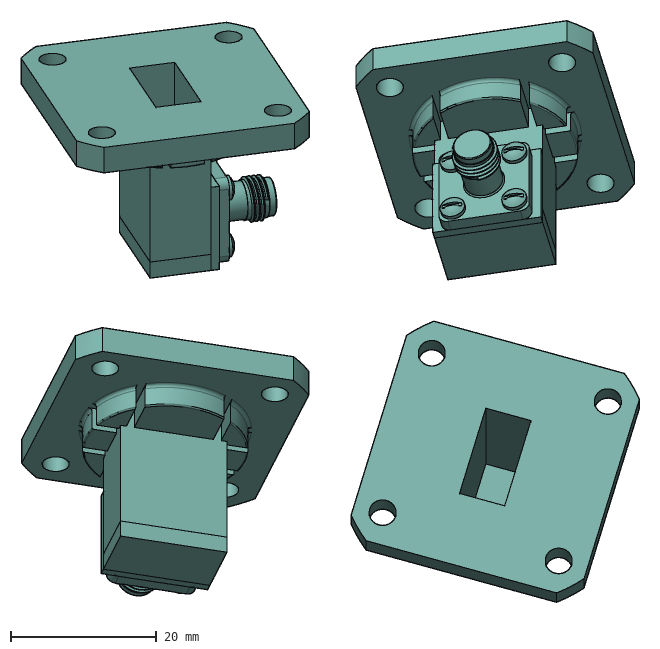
import cadquery as cq


flange_side = 33.32
flange_thickness = 3.9
corner_circle_diameter = 43.05
bolt_spacing_x = 24.2
bolt_spacing_y = 25.2
bolt_hole_diameter = 3.7

boss_diameter = 22.72
boss_height = 3.4
boss_root_fillet = 0.5
boss_rim_fillet = 0.2
slot_width = 1.13
slot_offset_x = 6.2
slot_offset_y = 2.95

overall_height = 25.4
guide_width = 15.2
guide_depth = 8.73
guide_wall = 1.13
cap_thickness = 2.45

plate_height = 12.7
plate_thickness = 1.15

connector_flange_side = plate_height
connector_flange_thickness = 1.8
connector_corner_radius = 1.25
barrel_radius = 2.7
barrel_length = 7.9
barrel_end_chamfer = 0.13
barrel_root_chamfer = 0.2

sleeve_radius = 2.83
sleeve_length = 3.13
sleeve_start = 3.7
thread_major_radius = 3.2
thread_pitch = 0.7
thread_turns = 3.7
thread_root_half_width = 0.3
thread_crest_half_width = 0.05
thread_root_overlap = 0.1
thread_start = sleeve_start + thread_root_half_width

screw_spacing = 8.65
screw_head_radius = 1.73
screw_rim_height = 0.55
screw_head_height = 1.23
screw_slot_width = 0.53
screw_slot_depth = 0.4

cap_top_z = cap_thickness - overall_height
boss_bottom_z = -flange_thickness - boss_height
guide_face_y = guide_depth / 2
plate_face_y = guide_face_y + plate_thickness
connector_face_y = plate_face_y + connector_flange_thickness
connector_axis_z = plate_height / 2 - overall_height


def box_between(x_size, y_range, z_range):
    """Box centred on X = 0 that fills the given Y and Z ranges."""
    y_size = y_range[1] - y_range[0]
    z_size = z_range[1] - z_range[0]
    box = cq.Workplane("XY").box(x_size, y_size, z_size, centered=(True, False, False))
    return box.translate((0, y_range[0], z_range[0]))


def facing_out(shape, y):
    """Turn a shape built along +Z so it points along +Y, on the connector axis."""
    return shape.rotate((0, 0, 0), (1, 0, 0), -90).translate((0, y, connector_axis_z))


def make_flange():
    square = cq.Workplane("XY").rect(flange_side, flange_side).extrude(-flange_thickness)
    corner_limit = cq.Workplane("XY").circle(corner_circle_diameter / 2).extrude(-flange_thickness)
    bolt_holes = (
        cq.Workplane("XY")
        .rect(bolt_spacing_x, bolt_spacing_y, forConstruction=True)
        .vertices()
        .circle(bolt_hole_diameter / 2)
        .extrude(-flange_thickness)
    )
    return square.intersect(corner_limit).cut(bolt_holes)


def make_boss():
    """Round boss with a flared root, crossed by two slots along each axis."""
    radius = boss_diameter / 2
    root_radius = radius + boss_root_fillet
    root_z = -flange_thickness
    boss = (
        cq.Workplane("XZ")
        .moveTo(0, root_z)
        .lineTo(root_radius, root_z)
        .radiusArc((radius, root_z - boss_root_fillet), -boss_root_fillet)
        .lineTo(radius, boss_bottom_z)
        .lineTo(0, boss_bottom_z)
        .close()
        .revolve(360, (0, 0, 0), (0, 1, 0))
        .faces("<Z")
        .edges()
        .fillet(boss_rim_fillet)
    )
    slot_length = 2 * root_radius
    slot_z = boss_bottom_z + boss_height / 2
    slot_along_x = cq.Workplane("XY").box(slot_length, slot_width, boss_height)
    slot_along_y = cq.Workplane("XY").box(slot_width, slot_length, boss_height)
    for side in (-1, 1):
        boss = boss.cut(slot_along_x.translate((0, side * slot_offset_y, slot_z)))
        boss = boss.cut(slot_along_y.translate((side * slot_offset_x, 0, slot_z)))
    return boss


def make_housing():
    """Flange, boss and waveguide tube, with the rectangular bore right through."""
    tube = box_between(guide_width, (-guide_face_y, guide_face_y), (cap_top_z, -flange_thickness))
    bore_half_depth = guide_face_y - guide_wall
    bore = box_between(guide_width - 2 * guide_wall, (-bore_half_depth, bore_half_depth), (cap_top_z, 0))
    return make_flange().union(make_boss()).union(tube).cut(bore)


def make_end_cap():
    return box_between(guide_width, (-guide_face_y, guide_face_y), (-overall_height, cap_top_z))


def make_adapter_plate():
    plate_top_z = plate_height - overall_height
    return box_between(guide_width, (guide_face_y, plate_face_y), (-overall_height, plate_top_z))


def make_barrel():
    """Round barrel, chamfered at its free end and flared where it meets the flange."""
    root_radius = barrel_radius + barrel_root_chamfer
    barrel = cq.Workplane("XY").circle(barrel_radius).extrude(barrel_length)
    barrel = barrel.faces(">Z").chamfer(barrel_end_chamfer)
    root = cq.Workplane(obj=cq.Solid.makeCone(root_radius, barrel_radius, barrel_root_chamfer))
    sleeve = cq.Workplane("XY").workplane(offset=sleeve_start).circle(sleeve_radius).extrude(sleeve_length)
    return barrel.union(root).union(sleeve)


def make_thread():
    """Right-hand ridge that starts on the lower side of the barrel."""
    inner_radius = sleeve_radius - thread_root_overlap
    helix = cq.Wire.makeHelix(thread_pitch, thread_turns * thread_pitch, inner_radius)
    ridge = (
        cq.Workplane("XZ")
        .polyline([
            (inner_radius, -thread_root_half_width),
            (thread_major_radius, -thread_crest_half_width),
            (thread_major_radius, thread_crest_half_width),
            (inner_radius, thread_root_half_width),
        ])
        .close()
        .sweep(cq.Workplane(obj=helix), isFrenet=True)
    )
    return ridge.rotate((0, 0, 0), (0, 0, 1), 90).translate((0, 0, thread_start))


def make_screw_head():
    """Domed head with one straight slot along X."""
    dome_height = screw_head_height - screw_rim_height
    dome_radius = (screw_head_radius**2 + dome_height**2) / (2 * dome_height)
    head = (
        cq.Workplane("XZ")
        .lineTo(screw_head_radius, 0)
        .lineTo(screw_head_radius, screw_rim_height)
        .radiusArc((0, screw_head_height), -dome_radius)
        .close()
        .revolve(360, (0, 0, 0), (0, 1, 0))
    )
    slot = (
        cq.Workplane("XY")
        .workplane(offset=screw_head_height - screw_slot_depth)
        .rect(2 * screw_head_radius, screw_slot_width)
        .extrude(screw_slot_depth)
    )
    return head.cut(slot)


def make_connector():
    """Square flange with four screw heads and a threaded barrel."""
    base = (
        cq.Workplane("XY")
        .rect(connector_flange_side, connector_flange_side)
        .extrude(-connector_flange_thickness)
        .edges("|Z")
        .fillet(connector_corner_radius)
    )
    connector = base.union(make_barrel()).union(make_thread())
    for side_x in (-1, 1):
        for side_y in (-1, 1):
            place = (side_x * screw_spacing / 2, side_y * screw_spacing / 2, 0)
            connector = connector.union(make_screw_head().translate(place))
    return facing_out(connector, connector_face_y)


housing = make_housing()
end_cap = make_end_cap()
adapter_plate = make_adapter_plate()
connector = make_connector()

result = cq.Compound.makeCompound([
    housing.val(),
    end_cap.val(),
    adapter_plate.val(),
    connector.val(),
])